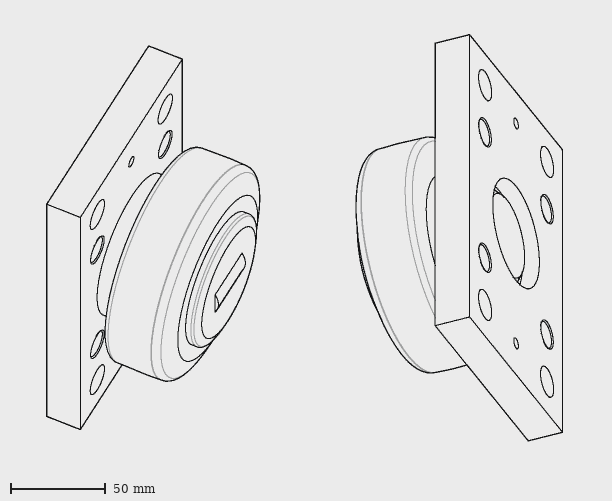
import cadquery as cq

PLATE_HEIGHT = 180.0
PLATE_WIDTH = 120.0
PLATE_THICKNESS = 20.0

HOLE_Y = 40.0
MOUNTING_HOLE_DIAMETER = 17.0
MOUNTING_HOLE_Z = 70.0
SCREW_HOLE_DIAMETER = 14.5
SCREW_HOLE_MOUTH_DIAMETER = 16.0
SCREW_HOLE_Z = 40.0
PIN_HOLE_DIAMETER = 6.0

NECK_RADIUS = 40.3

ROLLER_BACK_X = 34.0
ROLLER_FRONT_X = 71.1
ROLLER_EDGE_RADIUS = 122.2 / 2
ROLLER_CROWN_RADIUS = 123.0 / 2
ROLLER_BACK_FILLET = 2.9
ROLLER_FACE_RADIUS = 47.0
ROLLER_CONE_SLOPE = 2.6
ROLLER_SHOULDER_FLAT = 3.5
ROLLER_SHOULDER_FILLET = 4.5

CAP_FRONT_X = 77.5
CAP_RADIUS = 37.8
CAP_FACE_RADIUS = 31.7
CAP_CONE_LENGTH = 2.3
CAP_FILLET = 1.5

OVERALL_DEPTH = 79.5
BAR_LENGTH = 31.7
BAR_WIDTH = 14.8

BORE_RADIUS = 30.0
BORE_DEPTH = 9.9
AXLE_RADIUS = 27.5
AXLE_CHAMFER = 4.5
AXLE_FACE_DEPTH = BORE_DEPTH - AXLE_CHAMFER


def disc(radius, start_x, end_x):
    """Cylinder on the X axis."""
    return cq.Workplane("YZ").workplane(offset=start_x).circle(radius).extrude(end_x - start_x)


def revolve_about_x(profile):
    return profile.close().revolve(360, (0, 0, 0), (1, 0, 0))


def round_edge(body, x, radius, fillet):
    """Fillet the circular edge where the axial profile has a corner at (x, radius)."""
    reach = 0.09
    box = cq.selectors.BoxSelector(
        (x - reach, -radius - reach, -radius - reach),
        (x + reach, radius + reach, radius + reach),
        boundingbox=True,
    )
    return body.edges("%CIRCLE").edges(box).edges(cq.selectors.RadiusNthSelector(-1)).fillet(fillet)


def make_plate():
    plate = cq.Workplane("YZ").rect(PLATE_WIDTH, PLATE_HEIGHT).extrude(PLATE_THICKNESS)
    patterns = [
        (MOUNTING_HOLE_DIAMETER, MOUNTING_HOLE_Z, (-HOLE_Y, HOLE_Y)),
        (SCREW_HOLE_DIAMETER, SCREW_HOLE_Z, (-HOLE_Y, HOLE_Y)),
        (PIN_HOLE_DIAMETER, MOUNTING_HOLE_Z, (0,)),
    ]
    for diameter, hole_z, columns in patterns:
        points = [(y, z) for y in columns for z in (-hole_z, hole_z)]
        holes = cq.Workplane("YZ").pushPoints(points).circle(diameter / 2).extrude(PLATE_THICKNESS)
        plate = plate.cut(holes)

    chamfer = (SCREW_HOLE_MOUTH_DIAMETER - SCREW_HOLE_DIAMETER) / 2
    screw_rims = cq.selectors.RadiusNthSelector(1)
    return plate.edges("%CIRCLE").edges(screw_rims).chamfer(chamfer)


def make_roller():
    """Crowned roller with rounded shoulders and a conical front face."""
    crown_start = ROLLER_BACK_X + ROLLER_BACK_FILLET
    cone_length = (ROLLER_EDGE_RADIUS - ROLLER_FACE_RADIUS) / ROLLER_CONE_SLOPE
    shoulder_x = ROLLER_FRONT_X - cone_length
    crown_end = shoulder_x - ROLLER_SHOULDER_FLAT
    profile = (
        cq.Workplane("XY")
        .moveTo(ROLLER_BACK_X, 0)
        .lineTo(ROLLER_BACK_X, ROLLER_EDGE_RADIUS - ROLLER_BACK_FILLET)
        .radiusArc((crown_start, ROLLER_EDGE_RADIUS), ROLLER_BACK_FILLET)
        .threePointArc(
            ((crown_start + crown_end) / 2, ROLLER_CROWN_RADIUS),
            (crown_end, ROLLER_EDGE_RADIUS),
        )
        .lineTo(shoulder_x, ROLLER_EDGE_RADIUS)
        .lineTo(ROLLER_FRONT_X, ROLLER_FACE_RADIUS)
        .lineTo(ROLLER_FRONT_X, 0)
    )
    roller = revolve_about_x(profile)
    return round_edge(roller, shoulder_x, ROLLER_EDGE_RADIUS, ROLLER_SHOULDER_FILLET)


def make_cap():
    """End cap with a conical rim."""
    cone_start = CAP_FRONT_X - CAP_CONE_LENGTH
    profile = (
        cq.Workplane("XY")
        .moveTo(ROLLER_FRONT_X, 0)
        .lineTo(ROLLER_FRONT_X, CAP_RADIUS)
        .lineTo(cone_start, CAP_RADIUS)
        .lineTo(CAP_FRONT_X, CAP_FACE_RADIUS)
        .lineTo(CAP_FRONT_X, 0)
    )
    return round_edge(revolve_about_x(profile), cone_start, CAP_RADIUS, CAP_FILLET)


def make_bar():
    """Low bar along Y with a circular-segment section."""
    return (
        cq.Workplane("XZ")
        .moveTo(CAP_FRONT_X, -BAR_WIDTH / 2)
        .threePointArc((OVERALL_DEPTH, 0), (CAP_FRONT_X, BAR_WIDTH / 2))
        .close()
        .extrude(BAR_LENGTH / 2, both=True)
    )


def make_axle_end():
    axle = disc(AXLE_RADIUS, AXLE_FACE_DEPTH, BORE_DEPTH + AXLE_CHAMFER)
    return axle.faces("<X").chamfer(AXLE_CHAMFER)


body = make_plate().union(disc(NECK_RADIUS, PLATE_THICKNESS, ROLLER_BACK_X))
body = body.union(make_roller()).union(make_cap()).union(make_bar())
body = body.cut(disc(BORE_RADIUS, 0, BORE_DEPTH))
result = body.union(make_axle_end())